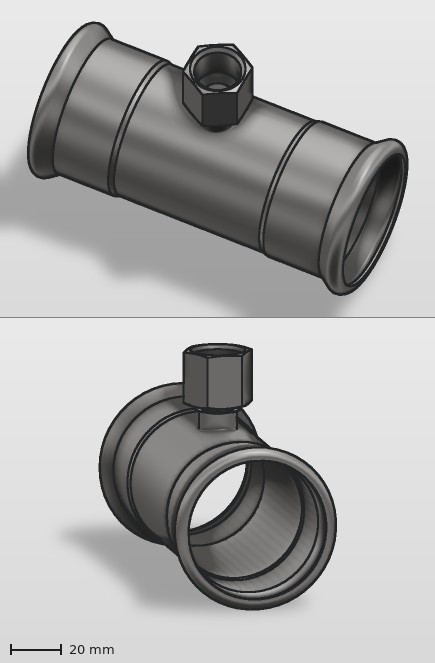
import cadquery as cq
import math

length = 138.0
middle_outer_r = 56.0 / 2
middle_inner_r = 53.0 / 2
socket_outer_r = 57.5 / 2
socket_inner_r = 54.4 / 2
seat_r = 55.0 / 2
lip_r = 56.0 / 2
step_start = 34.8
step_end = 37.0
inner_step_start = 35.0
inner_step_end = 36.2
seat_start = 10.0
seat_end = 10.8
bead_r = 3.6
bead_crest_r = 65.4 / 2
bead_cone_end = 10.4
wall = socket_outer_r - socket_inner_r
bead_inner_r = bead_r - wall

collar_r = 15.0 / 2
flare_r = 1.4
lip_top = 35.5
lip_thickness = 0.1
collar_root_fillet = 0.7

neck_r = 12.5 / 2
hex_width = 24.0
hex_corner_r = hex_width / math.sqrt(3)
hex_bottom = 37.5
hex_top = 59.2
top_face_r = 23.2 / 2
top_chamfer_height = 0.5
bottom_face_r = 23.2 / 2
bottom_chamfer_height = 0.8
socket_r = 18.6 / 2
countersink_r = 22.0 / 2
countersink_depth = countersink_r - socket_r
socket_depth = 14.8
floor_depth = socket_depth + socket_r - neck_r
neck_bottom = middle_outer_r

end_x = -length / 2
bead_x = end_x + bead_r
bead_center_r = bead_crest_r - bead_r


def tangent_angle(radius, foot_x, foot_r):
    """Angle, from the radial direction, where a line from the cone foot touches the bead arc."""
    run = foot_x - bead_x
    rise = foot_r - bead_center_r
    return math.pi / 2 - math.atan2(rise, run) - math.acos(radius / math.hypot(run, rise))


def bead_point(radius, angle):
    """Point on the bead arc; zero is the crest and positive angles lean inboard."""
    return (bead_x + radius * math.sin(angle), bead_center_r + radius * math.cos(angle))


def spin_about_x(profile):
    return profile.close().revolve(360, (0, 0, 0), (1, 0, 0))


def half_outer():
    """Solid outer envelope of the left half of the tube."""
    foot = (end_x + bead_cone_end, socket_outer_r)
    angle = tangent_angle(bead_r, *foot)
    return spin_about_x(
        cq.Workplane("XY")
        .moveTo(end_x, 0)
        .lineTo(end_x, bead_center_r)
        .threePointArc(bead_point(bead_r, 0), bead_point(bead_r, angle))
        .lineTo(*foot)
        .lineTo(end_x + step_start, socket_outer_r)
        .lineTo(end_x + step_end, middle_outer_r)
        .lineTo(0, middle_outer_r)
        .lineTo(0, 0)
    )


def half_inner():
    """Bore of the left half, including the seal groove inside the bead."""
    foot = (end_x + seat_start, seat_r)
    angle = tangent_angle(bead_inner_r, *foot)
    return spin_about_x(
        cq.Workplane("XY")
        .moveTo(end_x, 0)
        .lineTo(end_x, lip_r)
        .lineTo(end_x + wall, lip_r)
        .lineTo(*bead_point(bead_inner_r, -math.pi / 2))
        .threePointArc(bead_point(bead_inner_r, 0), bead_point(bead_inner_r, angle))
        .lineTo(*foot)
        .lineTo(end_x + seat_end, socket_inner_r)
        .lineTo(end_x + inner_step_start, socket_inner_r)
        .lineTo(end_x + inner_step_end, middle_inner_r)
        .lineTo(0, middle_inner_r)
        .lineTo(0, 0)
    )


def both_halves(half):
    return half.union(half.mirror("YZ"))


def make_collar():
    """Solid collar starting inside the tube and ending in the flared lip."""
    flare_top = lip_top - lip_thickness
    flare_bottom = flare_top - flare_r
    arc_reach = flare_r * math.sqrt(0.5)
    return (
        cq.Workplane("XZ")
        .lineTo(collar_r, 0)
        .lineTo(collar_r, flare_bottom)
        .threePointArc(
            (collar_r + flare_r - arc_reach, flare_bottom + arc_reach),
            (collar_r + flare_r, flare_top),
        )
        .lineTo(collar_r + flare_r, lip_top)
        .lineTo(0, lip_top)
        .close()
        .revolve(360, (0, 0, 0), (0, 1, 0))
    )


def make_tee():
    body = both_halves(half_outer()).union(make_collar())
    root_box = cq.selectors.BoxSelector(
        (-2 * collar_r, -2 * collar_r, middle_outer_r - collar_r),
        (2 * collar_r, 2 * collar_r, middle_outer_r + lip_thickness),
    )
    body = body.edges(root_box).edges("not %LINE").edges("not %CIRCLE").fillet(collar_root_fillet)
    branch_bore = cq.Workplane("XY").circle(neck_r).extrude(lip_top)
    return body.cut(both_halves(half_inner())).cut(branch_bore)


def make_hexagon():
    """Hexagonal prism with corners on Y, turned to a cone at both ends."""
    prism = (
        cq.Workplane("XY", origin=(0, 0, hex_bottom))
        .polygon(6, 2 * hex_corner_r)
        .extrude(hex_top - hex_bottom)
        .rotate((0, 0, 0), (0, 0, 1), 30)
    )
    turned_envelope = (
        cq.Workplane("XZ")
        .moveTo(0, hex_bottom)
        .lineTo(bottom_face_r, hex_bottom)
        .lineTo(hex_corner_r, hex_bottom + bottom_chamfer_height)
        .lineTo(hex_corner_r, hex_top - top_chamfer_height)
        .lineTo(top_face_r, hex_top)
        .lineTo(0, hex_top)
        .close()
        .revolve(360, (0, 0, 0), (0, 1, 0))
    )
    return prism.intersect(turned_envelope)


def make_socket():
    """Countersunk blind socket with a conical shoulder and a flat floor."""
    return (
        cq.Workplane("XZ")
        .moveTo(0, hex_top)
        .lineTo(countersink_r, hex_top)
        .lineTo(socket_r, hex_top - countersink_depth)
        .lineTo(socket_r, hex_top - socket_depth)
        .lineTo(neck_r, hex_top - floor_depth)
        .lineTo(0, hex_top - floor_depth)
        .close()
        .revolve(360, (0, 0, 0), (0, 1, 0))
    )


def make_fitting():
    neck = (
        cq.Workplane("XY", origin=(0, 0, neck_bottom))
        .circle(neck_r)
        .extrude(hex_bottom - neck_bottom)
    )
    return make_hexagon().union(neck).cut(make_socket())


tee = make_tee()
fitting = make_fitting()
result = cq.Compound.makeCompound([tee.val(), fitting.val()])